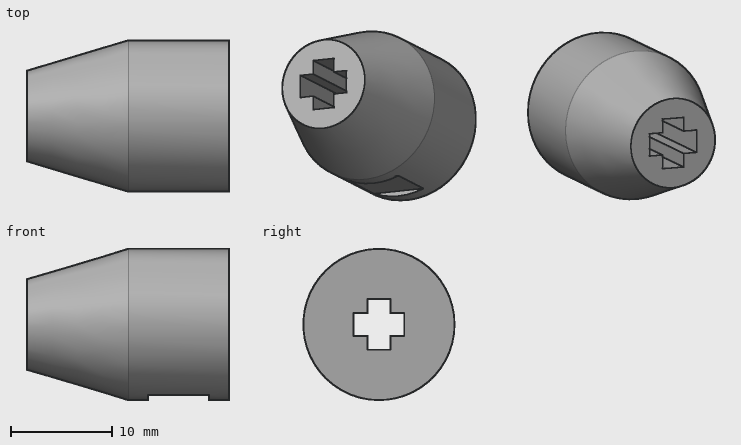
import cadquery as cq

total_length = 20.0
cone_length = total_length / 2
body_diameter = 15.0
nose_diameter = 9.0

cross_span = 5.0
cross_arm_width = 2.25

flat_length = 6.0
flat_depth = 0.5
flat_end_margin = 2.0


def make_body():
    """Cone followed by a cylinder, revolved from a half profile."""
    body_radius = body_diameter / 2
    profile = [
        (0, 0),
        (0, nose_diameter / 2),
        (cone_length, body_radius),
        (total_length, body_radius),
        (total_length, 0),
    ]
    return cq.Workplane("XY").polyline(profile).close().revolve(360, (0, 0, 0), (1, 0, 0))


def make_cross_hole():
    """Two crossing bars running the full length of the part."""
    section = cq.Workplane("YZ")
    wide_bar = section.rect(cross_span, cross_arm_width).extrude(total_length)
    tall_bar = section.rect(cross_arm_width, cross_span).extrude(total_length)
    return wide_bar.union(tall_bar)


def make_flat_cutter():
    """Block that removes a shallow segment from the bottom of the cylinder."""
    flat_start = total_length - flat_end_margin - flat_length
    return cq.Workplane("XY").box(
        flat_length, body_diameter, flat_depth, centered=(False, True, False)
    ).translate((flat_start, 0, -body_diameter / 2))


result = make_body().cut(make_cross_hole()).cut(make_flat_cutter())